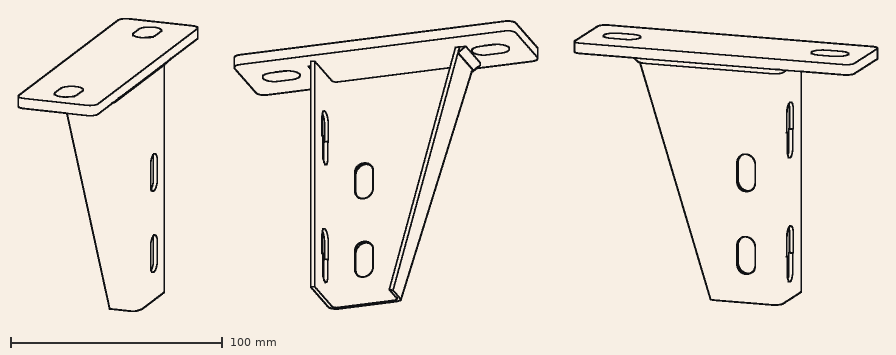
import cadquery as cq
import math

plate_width = 40.0
plate_length = 140.0
plate_thickness = 5.0
plate_corner_radius = 4.0
plate_slot_width = 11.0
plate_slot_length = 18.0
plate_slot_spacing = 104.2

sheet = 2.0
bend_radius = 4.0
web_x = 17.1
back_flange_edge_x = -13.0
back_y = 33.2
front_top_y = -39.3
front_lean = math.radians(17.5)
top_z = -plate_thickness
web_bottom_z = -120.1
front_edge_top_x = -8.1
front_edge_bottom_x = 1.8

web_slot_width = 9.1
web_slot_length = 18.0
web_slot_y = 16.1
web_slot_heights = (-57.1, -97.2)

step_slot_x = 3.0
step_slot_wide = 9.0
step_slot_narrow = 7.0
step_slot_top_z = -84.7
step_slot_shoulder_z = -98.5
step_slot_bottom_z = -111.6
step_slot_spacing = 60.0

weld_leg = 3.0
weld_start_x = -7.8

margin = 14.0
blank_bottom_z = web_bottom_z - margin
blank_edge_x = back_flange_edge_x - margin


def front_y(z, inset=0.0):
    """Y of the leaning flange at height z, on the plane inset from its outer face."""
    return front_top_y + (top_z - z) * math.tan(front_lean) + inset / math.cos(front_lean)


def make_plate():
    plate = (
        cq.Workplane("XY")
        .box(plate_width, plate_length, plate_thickness, centered=(True, True, False))
        .translate((0, 0, -plate_thickness))
        .edges("|Z")
        .fillet(plate_corner_radius)
    )
    slots = (
        cq.Workplane("XY")
        .rarray(1.4, plate_slot_spacing, 1, 2)
        .slot2D(plate_slot_length, plate_slot_width, 90)
        .extrude(-plate_thickness)
    )
    return plate.cut(slots)


def folded_blank(inset):
    """Solid bounded by the web and flange planes moved inwards by inset, with rounded folds."""
    corners = [
        (back_y - inset, top_z),
        (back_y - inset, blank_bottom_z),
        (front_y(blank_bottom_z, inset), blank_bottom_z),
        (front_y(top_z, inset), top_z),
    ]
    fold_direction = cq.Vector(0, math.sin(front_lean), -math.cos(front_lean))
    front_fold = cq.selectors.ParallelDirSelector(fold_direction)
    blank = (
        cq.Workplane("YZ", origin=(blank_edge_x, 0, 0))
        .polyline(corners)
        .close()
        .extrude(web_x - inset - blank_edge_x)
    )
    blank = blank.faces(">X").edges("|Z").fillet(bend_radius - inset)
    return blank.faces(">X").edges(front_fold).fillet(bend_radius - inset)


def weld_skirt():
    """45 degree skirt, widest at the plate, running around the outside of the bracket."""
    length_x = web_x + weld_leg - blank_edge_x
    length_y = back_y - front_top_y + 2 * weld_leg
    footprint = cq.Sketch().rect(length_x, length_y).vertices().fillet(bend_radius + weld_leg)
    centre = (blank_edge_x + length_x / 2, (back_y + front_top_y) / 2, top_z)
    skirt = cq.Workplane("XY", origin=centre).placeSketch(footprint).extrude(-weld_leg, taper=45)

    front_foot_z = top_z - weld_leg * math.cos(front_lean)
    side = [
        (back_y + weld_leg, top_z),
        (back_y + weld_leg, top_z - weld_leg),
        (front_y(front_foot_z), top_z - weld_leg),
        (front_y(front_foot_z), front_foot_z),
        (front_top_y - weld_leg, top_z),
    ]
    limit = (
        cq.Workplane("YZ", origin=(weld_start_x, 0, 0))
        .polyline(side)
        .close()
        .extrude(web_x + weld_leg - weld_start_x)
    )
    return skirt.intersect(limit)


def side_limit():
    """Side outline that squares off the bottom of the front flange and the back flange edge."""
    knee_y = front_y(web_bottom_z, sheet)
    tip = (
        knee_y - margin * math.cos(front_lean),
        web_bottom_z - margin * math.sin(front_lean),
    )
    outline = [
        (back_y + margin, top_z),
        (back_y + margin, web_bottom_z),
        (knee_y, web_bottom_z),
        tip,
        (front_top_y - margin, tip[1]),
        (front_top_y - margin, top_z),
    ]
    return (
        cq.Workplane("YZ", origin=(back_flange_edge_x, 0, 0))
        .polyline(outline)
        .close()
        .extrude(web_x + margin - back_flange_edge_x)
    )


def front_edge_trim():
    """Tool that tapers the free edge of the front flange."""
    slope = (front_edge_bottom_x - front_edge_top_x) / (top_z - web_bottom_z)
    outline = [
        (blank_edge_x, top_z),
        (front_edge_top_x, top_z),
        (front_edge_bottom_x + margin * slope, blank_bottom_z),
        (blank_edge_x, blank_bottom_z),
    ]
    inner_back_y = back_y - bend_radius
    return (
        cq.Workplane("XZ", origin=(0, inner_back_y, 0))
        .polyline(outline)
        .close()
        .extrude(inner_back_y - front_top_y + margin)
    )


def web_slots():
    return (
        cq.Workplane("YZ", origin=(web_x - bend_radius, 0, 0))
        .pushPoints([(web_slot_y, z) for z in web_slot_heights])
        .slot2D(web_slot_length, web_slot_width, 90)
        .extrude(bend_radius + margin)
    )


def stepped_slot(rise):
    """Slot through the back flange, lifted by rise above the lower one."""
    wide = step_slot_wide / 2
    narrow = step_slot_narrow / 2
    return (
        cq.Workplane("XZ", origin=(step_slot_x, back_y + margin, rise))
        .moveTo(-wide, step_slot_shoulder_z)
        .lineTo(-wide, step_slot_top_z - wide)
        .threePointArc((0, step_slot_top_z), (wide, step_slot_top_z - wide))
        .lineTo(wide, step_slot_shoulder_z)
        .lineTo(narrow, step_slot_shoulder_z)
        .lineTo(narrow, step_slot_bottom_z + narrow)
        .threePointArc((0, step_slot_bottom_z), (-narrow, step_slot_bottom_z + narrow))
        .lineTo(-narrow, step_slot_shoulder_z)
        .close()
        .extrude(margin + bend_radius)
    )


def make_bracket():
    bracket = folded_blank(0).union(weld_skirt()).cut(folded_blank(sheet))
    bracket = bracket.intersect(side_limit()).cut(front_edge_trim()).cut(web_slots())
    for rise in (0, step_slot_spacing):
        bracket = bracket.cut(stepped_slot(rise))
    return bracket


plate = make_plate()
bracket = make_bracket()
result = cq.Compound.makeCompound([plate.val(), *bracket.vals()])